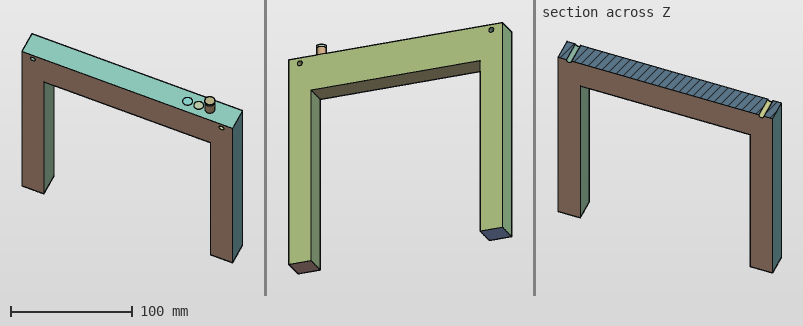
import cadquery as cq

total_height = 197.0
frame_width = 190.0
frame_depth = 20.0
leg_width = 19.9
beam_height = 31.0

connector_height = 12.0
shank_diameter = 8.0
cap_diameter = 8.5
cap_height = 2.0
connector_x = 70.0

window_diameter = 8.0
window_pitch = 10.0
window_count = 2
window_depth = 0.2

hole_diameter = 4.3
hole_drop = 5.0

frame_height = total_height - connector_height
hole_x = (frame_width - leg_width) / 2


def make_frame():
    """Portal frame: a beam carried by two legs."""
    block = cq.Workplane("XY").box(frame_width, frame_depth, frame_height, centered=(True, True, False))
    opening = cq.Workplane("XY").box(
        frame_width - 2 * leg_width,
        frame_depth,
        frame_height - beam_height,
        centered=(True, True, False),
    )
    return block.cut(opening)


def cut_mounting_holes(body):
    """Holes along Y, centred over each leg."""
    holes = (
        cq.Workplane("XZ")
        .pushPoints([(-hole_x, frame_height - hole_drop), (hole_x, frame_height - hole_drop)])
        .circle(hole_diameter / 2)
        .extrude(frame_depth / 2, both=True)
    )
    return body.cut(holes)


def cut_windows(body):
    """Row of shallow round recesses in the top of the beam."""
    centres = [(connector_x - window_pitch * (i + 1), 0) for i in range(window_count)]
    windows = (
        cq.Workplane("XY", origin=(0, 0, frame_height - window_depth))
        .pushPoints(centres)
        .circle(window_diameter / 2)
        .extrude(window_depth)
    )
    return body.cut(windows)


def make_connector():
    """Round shank with a slightly wider cap."""
    shank = (
        cq.Workplane("XY", origin=(connector_x, 0, frame_height))
        .circle(shank_diameter / 2)
        .extrude(connector_height)
    )
    cap = (
        cq.Workplane("XY", origin=(connector_x, 0, total_height - cap_height))
        .circle(cap_diameter / 2)
        .extrude(cap_height)
    )
    return shank.union(cap)


frame = cut_windows(cut_mounting_holes(make_frame()))
result = frame.union(make_connector())